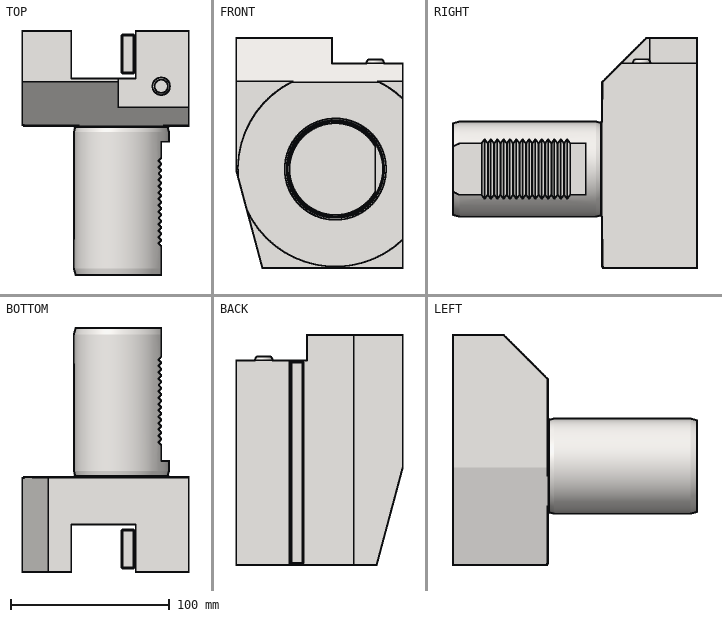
import cadquery as cq
import math


body_left = -62.5
body_width = 105.0
body_right = body_left + body_width
body_bottom = -62.4
body_height = 145.0
body_top = body_bottom + body_height
body_back = 60.0
face_relief = 0.6
nose_chamfer = 28.0
bevel_angle = 15.0
bevel_width = 16.5
bevel_height = bevel_width / math.tan(math.radians(bevel_angle))
locating_diameter = 122.9

shoulder_left = -2.0
shoulder_drop = 16.0
slot_left = -31.5
slot_right = 9.0
slot_depth = 30.0

bar_gap = 0.6
bar_width = 8.3
bar_length = 25.0
bar_back_inset = 2.2
bar_end_inset = 0.6
bar_chamfer = 1.0

plug_base_diameter = 11.1
plug_top_diameter = 8.3
plug_height = 2.5
plug_bulge = 0.3
plug_x = 25.1
plug_inset = 35.0

shank_diameter = 60.0
shank_length = 94.0
neck_diameter = 58.7
neck_length = 1.1
lead_angle = 15.0
end_chamfer_length = 4.2

flat_x = 25.3
flat_start = 10.0
tooth_pitch = 4.0
tooth_count = 14
tooth_depth = 1.8
first_tooth = 21.9

seat_diameter = 64.0
seat_depth = 1.2
seal_section = 1.7
seal_center_radius = 29.1
seal_protrusion = 0.7


def box(x_range, y_range, z_range):
    """Box spanning the given limits."""
    size = [end - start for start, end in (x_range, y_range, z_range)]
    corner = (x_range[0], y_range[0], z_range[0])
    return cq.Workplane("XY").box(*size, centered=False).translate(corner)


def turned(profile):
    """Solid of revolution about Y from (radius, y) points."""
    return cq.Workplane("XY").polyline(profile).close().revolve(360, (0, 0, 0), (0, 1, 0))


def make_body():
    outline = [
        (body_left, body_top),
        (body_left, body_bottom + bevel_height),
        (body_left + bevel_width, body_bottom),
        (body_right, body_bottom),
        (body_right, body_top),
    ]
    block = cq.Workplane("XZ").polyline(outline).close().extrude(-body_back)

    relief = box((body_left, body_right), (0, face_relief), (body_bottom, body_top))
    disc = cq.Workplane("XZ").circle(locating_diameter / 2).extrude(-face_relief)
    block = block.cut(relief.cut(disc))

    wedge = (
        cq.Workplane("YZ")
        .polyline([(0, body_top), (nose_chamfer, body_top), (0, body_top - nose_chamfer)])
        .close()
        .extrude(body_width)
        .translate((body_left, 0, 0))
    )
    shoulder = box((shoulder_left, body_right), (0, body_back), (body_top - shoulder_drop, body_top))
    slot = box((slot_left, slot_right), (body_back - slot_depth, body_back), (body_bottom, body_top))
    return block.cut(wedge).cut(shoulder).cut(slot)


def make_clamping_bar():
    right = slot_right - bar_gap
    back = body_back - bar_back_inset
    front = back - bar_length
    bottom = body_bottom + bar_end_inset
    top = body_top - shoulder_drop - bar_end_inset
    bar = box((right - bar_width, right), (front, back), (bottom, top))
    bar = bar.edges().chamfer(bar_chamfer)

    step = box(
        (right, slot_right),
        (front + bar_chamfer, back - bar_chamfer),
        (bottom + bar_chamfer, top - bar_chamfer),
    )
    return bar.union(step)


def make_plug():
    base_radius = plug_base_diameter / 2
    top_radius = plug_top_diameter / 2
    side_middle = ((base_radius + top_radius) / 2 + plug_bulge, plug_height / 2 + plug_bulge)
    plug = (
        cq.Workplane("XZ")
        .lineTo(base_radius, 0)
        .threePointArc(side_middle, (top_radius, plug_height))
        .lineTo(0, plug_height)
        .close()
        .revolve(360, (0, 0, 0), (0, 1, 0))
    )
    return plug.translate((plug_x, body_back - plug_inset, body_top - shoulder_drop))


def make_shank():
    lead_slope = math.tan(math.radians(lead_angle))
    shank_radius = shank_diameter / 2
    neck_radius = neck_diameter / 2
    lead_length = (shank_radius - neck_radius) / lead_slope
    end_radius = shank_radius - end_chamfer_length * lead_slope
    shank = turned([
        (0, seat_depth),
        (neck_radius, seat_depth),
        (neck_radius, -neck_length),
        (shank_radius, -neck_length - lead_length),
        (shank_radius, -shank_length + end_chamfer_length),
        (end_radius, -shank_length),
        (0, -shank_length),
    ])

    flat = box((flat_x, shank_diameter), (-shank_length, -flat_start), (-shank_radius, shank_radius))
    shank = shank.cut(flat)

    for index in range(tooth_count):
        root_y = -first_tooth - index * tooth_pitch
        groove = (
            cq.Workplane("XY")
            .polyline([
                (flat_x - tooth_depth, root_y),
                (flat_x, root_y + tooth_depth),
                (flat_x, root_y - tooth_depth),
            ])
            .close()
            .extrude(shank_radius, both=True)
        )
        shank = shank.cut(groove)
    return shank


def make_seal_seat():
    seat_radius = seat_diameter / 2
    return turned([(0, 0), (seat_radius, 0), (seat_radius - seat_depth, seat_depth), (0, seat_depth)])


def make_seal():
    section_radius = seal_section / 2
    return (
        cq.Workplane("XY")
        .center(seal_center_radius, section_radius - seal_protrusion)
        .circle(section_radius)
        .revolve(360, (-seal_center_radius, 0, 0), (-seal_center_radius, 1, 0))
    )


result = (
    make_body()
    .cut(make_seal_seat())
    .union(make_shank())
    .union(make_seal())
    .union(make_clamping_bar())
    .union(make_plug())
)